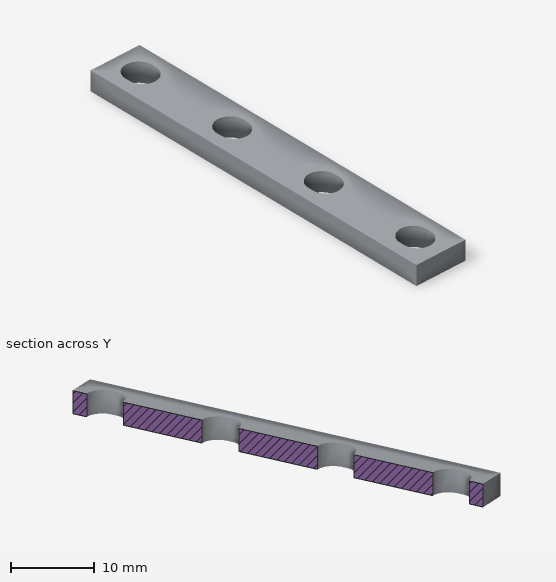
import cadquery as cq

length = 57.0
width = 8.0
thickness = 3.0

slot_count = 4
slot_pitch = 16.0
slot_length = 5.0
slot_width = 4.3

bar = cq.Workplane("XY").box(length, width, thickness)

slots = (
    cq.Workplane("XY")
    .rarray(slot_pitch, 0.55, slot_count, 1)
    .slot2D(slot_length, slot_width)
    .extrude(thickness, both=True)
)

result = bar.cut(slots)